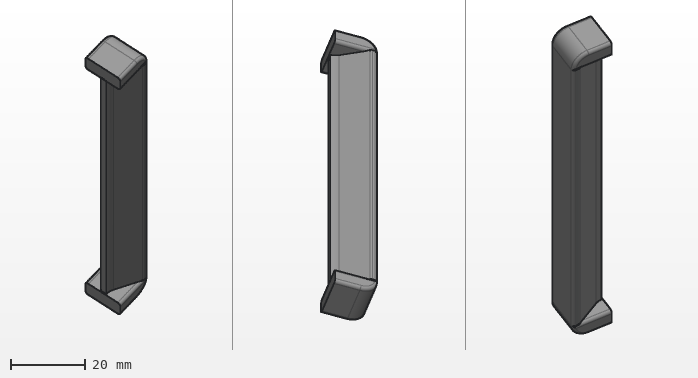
import cadquery as cq
import math

length = 110.0
width = 12.0
depth = 12.2
half_width = width / 2
back_y = depth / 2
front_y = -depth / 2

cap_height = 5.2
cap_edge_radius = 1.0
cap_back_radius = 5.0

flank_angle = math.radians(30)
side_length = 2.0
back_radius = 1.0
shoulder_radius = 1.3
nose_gap = 0.3
neck_length = 2.2

shoulder_y = back_y - side_length
nose_y = front_y + nose_gap
neck_y = nose_y + neck_length
neck_half_width = half_width - (shoulder_y - neck_y) * math.tan(flank_angle)
neck_radius = neck_length / math.sin(flank_angle)
nose_half_width = neck_half_width - neck_radius * (1 - math.cos(flank_angle))


def neck_midpoint(side):
    """Middle of the concave neck arc on the +X (1) or -X (-1) side."""
    half_angle = flank_angle / 2
    x = nose_half_width + neck_radius * (1 - math.cos(half_angle))
    y = nose_y + neck_radius * math.sin(half_angle)
    return (side * x, y)


def make_bar():
    bar_length = length - 2 * cap_back_radius
    bar = (
        cq.Workplane("XY")
        .workplane(offset=-bar_length / 2)
        .moveTo(-half_width, back_y)
        .lineTo(half_width, back_y)
        .lineTo(half_width, shoulder_y)
        .lineTo(neck_half_width, neck_y)
        .threePointArc(neck_midpoint(1), (nose_half_width, nose_y))
        .lineTo(-nose_half_width, nose_y)
        .threePointArc(neck_midpoint(-1), (-neck_half_width, neck_y))
        .lineTo(-half_width, shoulder_y)
        .close()
        .extrude(bar_length)
    )
    bar = bar.edges("|Z and >Y").fillet(back_radius)
    return bar.edges(cq.selectors.BoxSelector(
        (-width, shoulder_y - back_radius / 2, -length),
        (width, shoulder_y + back_radius / 2, length),
    )).edges("|Z").fillet(shoulder_radius)


def make_top_cap():
    block_height = 2 * cap_height
    block = (
        cq.Workplane("XY")
        .box(width, depth, block_height)
        .translate((0, 0, (length - block_height) / 2))
    )
    block = block.edges("|X and >Y and >Z").fillet(cap_back_radius)
    block = block.faces("<X or >X").edges("not(<Y or <Z)").fillet(cap_edge_radius)

    blank = (
        cq.Workplane("XY")
        .box(width, depth, block_height)
        .edges("|Y and <Z")
        .fillet(cap_edge_radius)
        .translate((0, 0, length / 2 - cap_height + block_height / 2))
    )
    return block.intersect(blank)


top_cap = make_top_cap()
bottom_cap = top_cap.mirror("XY")
result = make_bar().union(top_cap).union(bottom_cap)